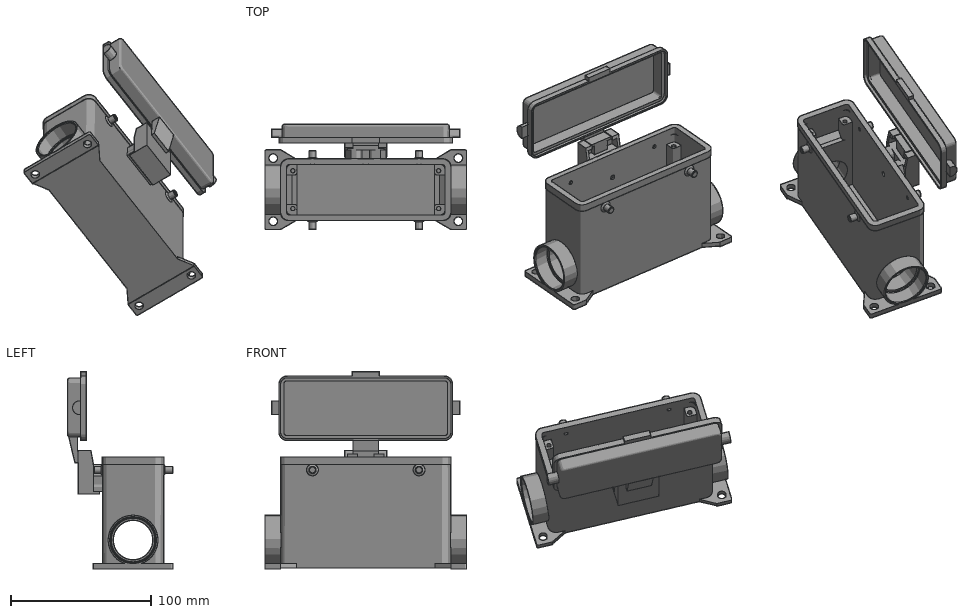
import cadquery as cq
import math

BODY_LENGTH = 121.4
BODY_WIDTH = 43.8
BODY_CORNER_RADIUS = 6.0
BODY_BASE_Z = 0.6
BODY_TOP_Z = 80.0
RIM_HEIGHT = 5.5
RIM_LENGTH = 121.8
RIM_WIDTH = 44.2
WALL_X = 4.2
CAVITY_LENGTH = BODY_LENGTH - 2 * WALL_X
CAVITY_WIDTH = 36.0
CAVITY_RIM_RADIUS = 2.0
CAVITY_RADIUS = 3.5
FLOOR_Z = 4.0

POST_SIZE = 7.4
POST_TOP_Z = 68.0
POST_EDGE_RADIUS = 1.5
POST_HOLE_DIAMETER = 3.0
POST_HOLE_DEPTH = 12.0
POST_HOLE_X = 52.0
POST_HOLE_Y = 13.5
WEB_SHELF_Z = 52.4
WEB_SHELF_DEPTH = 3.4

FOOT_END_X = 72.0
FOOT_HALF_WIDTH = 28.5
FOOT_HEIGHT = 4.0
FOOT_CORNER_RADIUS = 1.2
FOOT_TAPER_END_X = 49.5
FOOT_HOLE_DIAMETER = 6.0
FOOT_HOLE_X = 66.0
FOOT_HOLE_Y = 22.5

GLAND_DIAMETER = 35.5
GLAND_AXIS_Z = 20.7
GLAND_BORE_DIAMETER = 32.2
CABLE_HOLE_DIAMETER = 28.0
GLAND_CHAMFER = 0.6

PEG_X = 38.0
PEG_Z = 70.7
PEG_DIAMETER = 5.2
PEG_END_CHAMFER = 0.5
PEG_COLLAR_DIAMETER = 8.4
PEG_COLLAR_HEIGHT = 1.0
PEG_FRONT_END_Y = -28.5
PEG_REAR_END_Y = 28.0
RIVET_HOLE_DIAMETER = 2.8
HINGE_RIVET_HOLE_DIAMETER = 3.6
HINGE_RIVET_Z = 59.9
RIVET_HOLE_DEPTH = 1.5

HINGE_HALF_LENGTH = 15.0
HINGE_BACK_Y = 39.1
HINGE_TOP_FRONT_Y = 30.0
HINGE_FRONT_Y = 28.2
HINGE_TOP_Z = 84.7
HINGE_SLOPE_END_Z = 74.7
HINGE_BASE_Z = 53.5
HINGE_PLATE_THICKNESS = 1.7
HINGE_PLATE_FRONT_Y = 23.8
HINGE_WALL = 2.1
HINGE_BACK_WALL = 4.0
HINGE_ROOF = 2.7
HINGE_CORE_HALF_LENGTH = 5.9
HINGE_CORE_TOP_Z = 84.1
HINGE_CORE_FRONT_Y = 31.4
PAD_INNER_X = 2.6
PAD_OUTER_X = 14.4
PAD_FOOT_X = 14.8
PAD_SIDE_BASE_Z = 60.3
PAD_FOOT_Z = 58.3
PAD_BRIDGE_TOP_Z = 57.0
PAD_CREST_X = 10.5
PAD_SIDE_TOP_Z = 66.4
PAD_INNER_RADIUS = 4.0

STRAP_HALF_LENGTH = 9.1
STRAP_TOP_BACK_Y = 45.9
STRAP_BASE_BACK_Y = 41.5
STRAP_FRONT_Y = 39.5
STRAP_BASE_Z = 75.7

COVER_CENTER_Z = 114.7
FLANGE_LENGTH = 124.0
FLANGE_HEIGHT = 46.0
FLANGE_RADIUS = 6.0
FLANGE_FRONT_Y = 33.2
FLANGE_BACK_Y = 37.3
SHELL_LENGTH = 119.2
SHELL_TOP_Z = 136.4
SHELL_BASE_Z = 94.2
SHELL_RADIUS = 4.0
SHELL_BACK_Y = 46.75
SHELL_EDGE_RADIUS = 1.8
COVER_POCKET_INSET = 3.6
COVER_POCKET_RADIUS = 2.0
COVER_BACK_THICKNESS = 2.0
SEAL_STEP_INSET = 1.3
SEAL_STEP_DEPTH = 2.2
TAB_HALF_LENGTH = 9.7
TAB_TOP_Z = 140.75
TRUNNION_RADIUS = 4.85
TRUNNION_END_X = 67.2
TRUNNION_AXIS_Y = 38.3
TRUNNION_AXIS_Z = 115.05


def box(x_range, y_range, z_range):
    """Axis-aligned block given by its limits along each axis."""
    (x0, x1), (y0, y1), (z0, z1) = x_range, y_range, z_range
    return cq.Workplane("XY").box(x1 - x0, y1 - y0, z1 - z0, centered=False).translate((x0, y0, z0))


def upright_block(length, width, radius, z0, z1):
    """Block centred on the Z axis with rounded vertical edges."""
    block = box((-length / 2, length / 2), (-width / 2, width / 2), (z0, z1))
    return block.edges("|Z").fillet(radius)


def cover_block(length, radius, y_range, z_range):
    """Block centred in X with rounded edges along Y."""
    block = box((-length / 2, length / 2), y_range, z_range)
    return block.edges("|Y").fillet(radius)


def cylinder_x(diameter, x0, x1, y, z):
    """Cylinder along X."""
    return cq.Workplane("YZ", origin=(x0, 0, 0)).center(y, z).circle(diameter / 2).extrude(x1 - x0)


def profile_along_x(points, half_length):
    """Prism with a YZ outline, centred in X."""
    return cq.Workplane("YZ").polyline(points).close().extrude(half_length, both=True)


def both_ends(shape):
    """A shape together with its mirror image in X."""
    return shape.union(shape.mirror("YZ"))


def all_corners(shape):
    """A shape repeated in the four XY quadrants."""
    pair = both_ends(shape)
    return pair.union(pair.mirror("XZ"))


def make_shell():
    rim_base_z = BODY_TOP_Z - RIM_HEIGHT
    body = upright_block(BODY_LENGTH, BODY_WIDTH, BODY_CORNER_RADIUS, BODY_BASE_Z, rim_base_z)
    rim = upright_block(RIM_LENGTH, RIM_WIDTH, BODY_CORNER_RADIUS, rim_base_z, BODY_TOP_Z)
    return body.union(rim)


def make_cavity():
    rim_base_z = BODY_TOP_Z - RIM_HEIGHT
    lower = upright_block(CAVITY_LENGTH, CAVITY_WIDTH, CAVITY_RADIUS, FLOOR_Z, rim_base_z)
    upper = upright_block(CAVITY_LENGTH, CAVITY_WIDTH, CAVITY_RIM_RADIUS, rim_base_z, BODY_TOP_Z)
    return lower.union(upper)


def make_posts():
    wall_x = CAVITY_LENGTH / 2
    wall_y = CAVITY_WIDTH / 2
    x_range = (wall_x - POST_SIZE, wall_x + WALL_X / 2)
    y_range = (wall_y - POST_SIZE, wall_y + WALL_X / 2)
    post = box(x_range, y_range, (BODY_BASE_Z, POST_TOP_Z))
    post = post.edges("|Z and <X and <Y").fillet(POST_EDGE_RADIUS)
    hole = cq.Workplane("XY", origin=(POST_HOLE_X, POST_HOLE_Y, POST_TOP_Z))
    hole = hole.circle(POST_HOLE_DIAMETER / 2).extrude(-POST_HOLE_DEPTH)
    return all_corners(post.cut(hole))


def make_webs():
    """Web between the posts: a flat shelf, then a 45 degree slope up to the end wall."""
    wall_x = CAVITY_LENGTH / 2
    inner_x = wall_x - POST_SIZE
    slope_x = inner_x + WEB_SHELF_DEPTH
    wall_z = WEB_SHELF_Z + (wall_x - slope_x)
    outline = [
        (inner_x, BODY_BASE_Z),
        (inner_x, WEB_SHELF_Z),
        (slope_x, WEB_SHELF_Z),
        (wall_x, wall_z),
        (wall_x, BODY_BASE_Z),
    ]
    half_width = CAVITY_WIDTH / 2 - POST_SIZE + POST_EDGE_RADIUS
    web = cq.Workplane("XZ").polyline(outline).close().extrude(half_width, both=True)
    return both_ends(web)


def make_feet():
    body_end_x = BODY_LENGTH / 2
    body_side_y = BODY_WIDTH / 2
    outline = [
        (FOOT_END_X, -FOOT_HALF_WIDTH),
        (FOOT_END_X, FOOT_HALF_WIDTH),
        (body_end_x, FOOT_HALF_WIDTH),
        (FOOT_TAPER_END_X, body_side_y),
        (FOOT_TAPER_END_X, -body_side_y),
        (body_end_x, -FOOT_HALF_WIDTH),
    ]
    foot = cq.Workplane("XY").polyline(outline).close().extrude(FOOT_HEIGHT)
    foot = foot.edges("|Z and >X").fillet(FOOT_CORNER_RADIUS)
    relief = box((0, body_end_x), (-FOOT_HALF_WIDTH, FOOT_HALF_WIDTH), (0, BODY_BASE_Z))
    hole = cq.Workplane("XY").center(FOOT_HOLE_X, FOOT_HOLE_Y)
    hole = hole.circle(FOOT_HOLE_DIAMETER / 2).extrude(FOOT_HEIGHT)
    return both_ends(foot.cut(relief)).cut(all_corners(hole))


def make_glands():
    inner_x = CAVITY_LENGTH / 2 + WALL_X / 2
    return both_ends(cylinder_x(GLAND_DIAMETER, inner_x, FOOT_END_X, 0, GLAND_AXIS_Z))


def make_gland_bores():
    bore = cylinder_x(GLAND_BORE_DIAMETER, BODY_LENGTH / 2, FOOT_END_X, 0, GLAND_AXIS_Z)
    bore = bore.faces("<X").edges().chamfer(GLAND_CHAMFER)
    mouth = cq.Workplane("YZ", origin=(FOOT_END_X - GLAND_CHAMFER, 0, 0)).center(0, GLAND_AXIS_Z)
    mouth = mouth.circle(GLAND_BORE_DIAMETER / 2).extrude(GLAND_CHAMFER, taper=-45)
    bore = bore.union(mouth)
    cable_hole = cylinder_x(CABLE_HOLE_DIAMETER, -FOOT_END_X, FOOT_END_X, 0, GLAND_AXIS_Z)
    return both_ends(bore).union(cable_hole)


def make_peg(x, end_y):
    """Turned locking peg with a conical collar, standing on the front or rear wall."""
    side = math.copysign(1, end_y)
    length = abs(end_y) - BODY_WIDTH / 2
    root = -WALL_X / 4
    peg_radius = PEG_DIAMETER / 2
    collar_radius = PEG_COLLAR_DIAMETER / 2
    outline = [
        (0, root),
        (collar_radius, root),
        (collar_radius, 0),
        (peg_radius, PEG_COLLAR_HEIGHT),
        (peg_radius, length - PEG_END_CHAMFER),
        (peg_radius - PEG_END_CHAMFER, length),
        (0, length),
    ]
    plane = cq.Plane(origin=(x, side * BODY_WIDTH / 2, PEG_Z), xDir=(1, 0, 0), normal=(0, 0, side))
    return cq.Workplane(plane).polyline(outline).close().revolve(360, (0, 0, 0), (0, 1, 0))


def make_pegs():
    pegs = make_peg(PEG_X, PEG_FRONT_END_Y).union(make_peg(PEG_X, PEG_REAR_END_Y))
    return both_ends(pegs)


def make_rivet_holes():
    """Blind holes in the inner side walls behind the pegs and the hinge."""
    depth_y = CAVITY_WIDTH / 2 + RIVET_HOLE_DEPTH
    pegs = cq.Workplane("XZ").pushPoints([(-PEG_X, PEG_Z), (PEG_X, PEG_Z)])
    holes = pegs.circle(RIVET_HOLE_DIAMETER / 2).extrude(depth_y, both=True)
    hinge = cq.Workplane("XZ").center(0, HINGE_RIVET_Z)
    return holes.union(hinge.circle(HINGE_RIVET_HOLE_DIAMETER / 2).extrude(-depth_y))


def make_hinge_block():
    outline = [
        (HINGE_BACK_Y, HINGE_BASE_Z),
        (HINGE_BACK_Y, HINGE_TOP_Z),
        (HINGE_TOP_FRONT_Y, HINGE_TOP_Z),
        (HINGE_FRONT_Y, HINGE_SLOPE_END_Z),
        (HINGE_FRONT_Y, HINGE_BASE_Z + HINGE_PLATE_THICKNESS),
        (HINGE_PLATE_FRONT_Y, HINGE_BASE_Z + HINGE_PLATE_THICKNESS),
        (HINGE_PLATE_FRONT_Y, HINGE_BASE_Z),
    ]
    block = profile_along_x(outline, HINGE_HALF_LENGTH)
    pocket_y = (HINGE_FRONT_Y, HINGE_BACK_Y - HINGE_BACK_WALL)
    pocket_z = (HINGE_SLOPE_END_Z, HINGE_TOP_Z - HINGE_ROOF)
    side_pocket = box((HINGE_CORE_HALF_LENGTH, HINGE_HALF_LENGTH - HINGE_WALL), pocket_y, pocket_z)
    top_z = (HINGE_CORE_TOP_Z, HINGE_TOP_Z)
    top_step = box((-STRAP_HALF_LENGTH, STRAP_HALF_LENGTH), (HINGE_FRONT_Y, HINGE_BACK_Y), top_z)
    core_recess = box(
        (-STRAP_HALF_LENGTH, STRAP_HALF_LENGTH),
        (HINGE_FRONT_Y, HINGE_CORE_FRONT_Y),
        (HINGE_SLOPE_END_Z, HINGE_TOP_Z),
    )
    return block.cut(both_ends(side_pocket)).cut(top_step).cut(core_recess)


def make_hinge_pads():
    """Two pads joined by a low bridge, carrying the hinge block on the rear wall."""
    base_z = HINGE_BASE_Z + HINGE_PLATE_THICKNESS
    outline = [
        (PAD_INNER_X, base_z),
        (PAD_FOOT_X, base_z),
        (PAD_FOOT_X, PAD_FOOT_Z),
        (PAD_OUTER_X, PAD_SIDE_BASE_Z),
        (PAD_OUTER_X, PAD_SIDE_TOP_Z),
        (PAD_CREST_X, HINGE_SLOPE_END_Z),
        (PAD_INNER_X, HINGE_SLOPE_END_Z),
    ]
    wall_y = BODY_WIDTH / 2
    pad = cq.Workplane("XZ", origin=(0, wall_y, 0)).polyline(outline).close()
    pad = pad.extrude(wall_y - HINGE_FRONT_Y)
    pad = pad.edges("|Y and <X and >Z").fillet(PAD_INNER_RADIUS)
    bridge = box((-PAD_INNER_X, PAD_INNER_X), (wall_y, HINGE_FRONT_Y), (base_z, PAD_BRIDGE_TOP_Z))
    return both_ends(pad).union(bridge)


def make_strap():
    outline = [
        (STRAP_FRONT_Y, SHELL_BASE_Z),
        (STRAP_TOP_BACK_Y, SHELL_BASE_Z),
        (STRAP_BASE_BACK_Y, STRAP_BASE_Z),
        (HINGE_BACK_Y, STRAP_BASE_Z),
        (HINGE_BACK_Y, HINGE_CORE_TOP_Z),
        (STRAP_FRONT_Y, HINGE_CORE_TOP_Z),
    ]
    return profile_along_x(outline, STRAP_HALF_LENGTH)


def make_cover():
    flange_base_z = COVER_CENTER_Z - FLANGE_HEIGHT / 2
    flange_top_z = COVER_CENTER_Z + FLANGE_HEIGHT / 2
    flange_y = (FLANGE_FRONT_Y, FLANGE_BACK_Y)
    flange = cover_block(FLANGE_LENGTH, FLANGE_RADIUS, flange_y, (flange_base_z, flange_top_z))

    shell_y = (FLANGE_BACK_Y, SHELL_BACK_Y)
    shell = cover_block(SHELL_LENGTH, SHELL_RADIUS, shell_y, (SHELL_BASE_Z, SHELL_TOP_Z))
    shell = shell.faces(">Y").edges().fillet(SHELL_EDGE_RADIUS)

    tab_x = (-TAB_HALF_LENGTH, TAB_HALF_LENGTH)
    tab = box(tab_x, flange_y, (flange_top_z - SEAL_STEP_INSET, TAB_TOP_Z))
    trunnions = cylinder_x(
        2 * TRUNNION_RADIUS, -TRUNNION_END_X, TRUNNION_END_X, TRUNNION_AXIS_Y, TRUNNION_AXIS_Z
    )
    trunnion_trim = box(
        (-TRUNNION_END_X, TRUNNION_END_X), (0, FLANGE_BACK_Y), (flange_base_z, flange_top_z)
    )
    trunnions = trunnions.cut(trunnion_trim)

    step = cover_block(
        FLANGE_LENGTH - 2 * SEAL_STEP_INSET,
        FLANGE_RADIUS - SEAL_STEP_INSET,
        (FLANGE_FRONT_Y, FLANGE_FRONT_Y + SEAL_STEP_DEPTH),
        (flange_base_z + SEAL_STEP_INSET, flange_top_z - SEAL_STEP_INSET),
    )
    pocket = cover_block(
        FLANGE_LENGTH - 2 * COVER_POCKET_INSET,
        COVER_POCKET_RADIUS,
        (FLANGE_FRONT_Y, SHELL_BACK_Y - COVER_BACK_THICKNESS),
        (flange_base_z + COVER_POCKET_INSET, flange_top_z - COVER_POCKET_INSET),
    )
    return flange.union(shell).union(tab).union(trunnions).cut(step).cut(pocket)


def make_housing():
    housing = make_shell().union(make_feet()).union(make_glands()).union(make_pegs())
    housing = housing.cut(make_cavity()).union(make_posts()).union(make_webs())
    return housing.cut(make_gland_bores()).cut(make_rivet_holes())


def make_hinge():
    return make_hinge_block().union(make_hinge_pads()).union(make_strap())


result = make_housing().union(make_hinge()).union(make_cover())